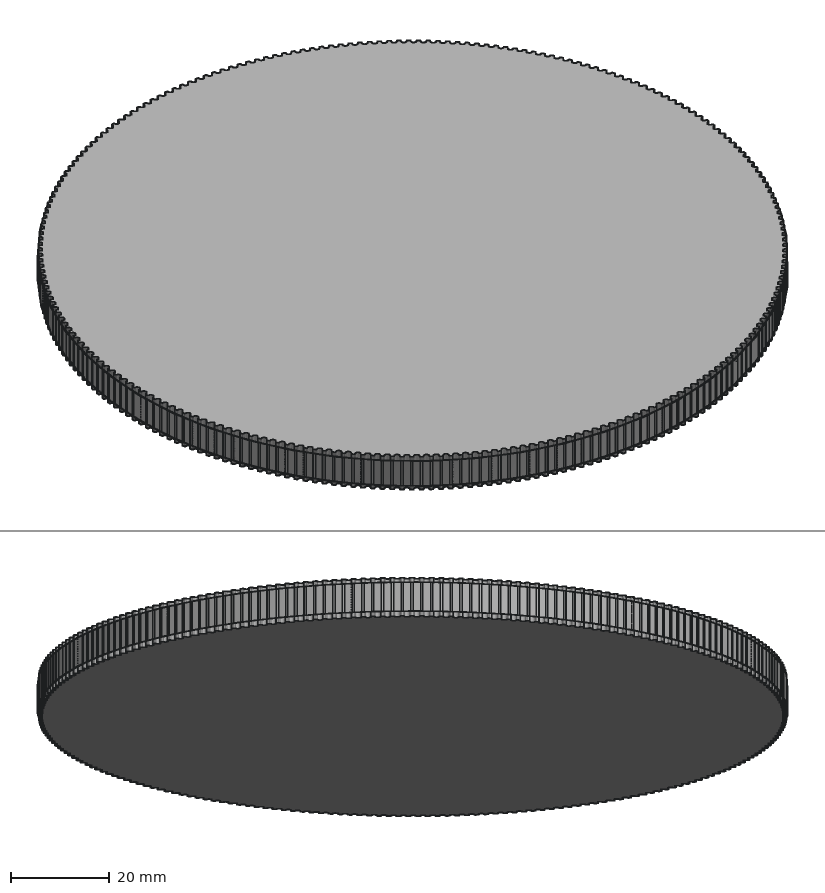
import cadquery as cq
import math

outer_diameter = 152.2
thickness = 8.0

band_height = 6.1
band_thickness = 0.23

groove_count = 239
groove_radius = 0.58
lip_radius = 0.2
groove_depth = groove_radius + lip_radius

band_radius = outer_diameter / 2
tip_radius = band_radius - band_thickness
band_bottom = (thickness - band_height) / 2
pitch_angle = 2 * math.pi / groove_count
first_groove_angle = -math.pi / 2
half_mouth = groove_radius + lip_radius
half_mouth_angle = math.asin(half_mouth / tip_radius)


def polar(radius, angle):
    return (radius * math.cos(angle), radius * math.sin(angle))


def groove_point(angle, across, depth):
    """Point of the groove at this angle: across from its middle line, depth below the tips."""
    radial = tip_radius - depth
    return (
        radial * math.cos(angle) - across * math.sin(angle),
        radial * math.sin(angle) + across * math.cos(angle),
    )


def add_groove_and_tip(outline, angle):
    """Add one groove, rounded at its floor and lips, and the tooth tip after it."""
    lip_offset = lip_radius * (1 - math.cos(math.pi / 4))
    lip_across = groove_radius + lip_offset
    outline = outline.threePointArc(
        groove_point(angle, -lip_across, lip_offset),
        groove_point(angle, -groove_radius, lip_radius),
    )
    outline = outline.threePointArc(
        groove_point(angle, 0, groove_depth),
        groove_point(angle, groove_radius, lip_radius),
    )
    outline = outline.threePointArc(
        groove_point(angle, lip_across, lip_offset),
        polar(tip_radius, angle + half_mouth_angle),
    )
    return outline.threePointArc(
        polar(tip_radius, angle + pitch_angle / 2),
        polar(tip_radius, angle + pitch_angle - half_mouth_angle),
    )


def toothed_disc():
    outline = cq.Workplane("XY").moveTo(*polar(tip_radius, first_groove_angle - half_mouth_angle))
    for i in range(groove_count):
        outline = add_groove_and_tip(outline, first_groove_angle + i * pitch_angle)
    return outline.close().extrude(thickness)


def tip_band():
    """Ring that closes the outer side of the grooves and leaves them open above and below."""
    ring = cq.Workplane("XY").workplane(offset=band_bottom)
    return ring.circle(band_radius).circle(tip_radius).extrude(band_height)


result = toothed_disc().union(tip_band())